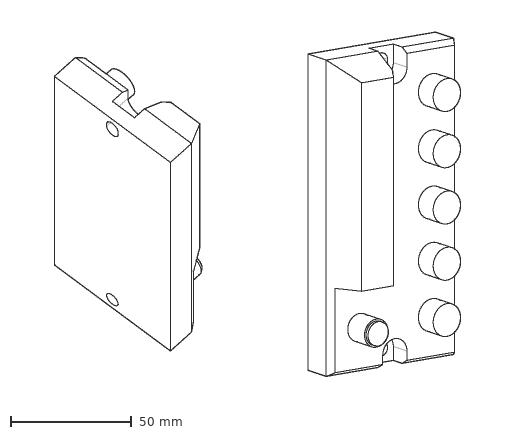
import cadquery as cq
import math

width = 65.0
height = 135.0
edge_depth = 13.0
plate_depth = 16.5
body_depth = 27.0
bevel_angle = math.radians(30)

clearance_width = 12.35
housing_left = clearance_width / 2
housing_bottom = 38.0
housing_bevel_depth = 3.5

socket_diameter = 14.0
socket_count = 5
socket_pitch = 24.0
socket_x = -19.0
first_socket_z = (height - (socket_count - 1) * socket_pitch) / 2

connector_x = 18.0
collar_diameter = 12.0
collar_depth = 28.4
tip_diameter = 10.4
tip_depth = 29.8

hole_diameter = 6.4
lower_hole_z = 6.0
upper_hole_z = height - 7.0
upper_hole_length = 8.2
vertical = 90
clearance_floor = 6.8


def bevel_run(depth):
    """Sideways run of a bevel that is `depth` deep along Y."""
    return depth * math.tan(bevel_angle)


def make_beveled_body(depth):
    """Full-size block whose top, bottom and sides lean inward beyond edge_depth."""
    base = cq.Workplane("XY").box(width, edge_depth, height, centered=(True, False, False))
    bevel_depth = depth - edge_depth
    bevel = (
        cq.Workplane("XZ", origin=(0, edge_depth, height / 2))
        .rect(width, height)
        .extrude(-bevel_depth, taper=math.degrees(bevel_angle))
    )
    return base.union(bevel)


def make_housing():
    """Part of the deep beveled body kept on the right, with a bevel on its inner edge."""
    bevel_start = body_depth - housing_bevel_depth
    profile = [
        (housing_left, 0),
        (width / 2, 0),
        (width / 2, body_depth),
        (housing_left + bevel_run(housing_bevel_depth), body_depth),
        (housing_left, bevel_start),
    ]
    envelope = (
        cq.Workplane("XY", origin=(0, 0, housing_bottom))
        .polyline(profile)
        .close()
        .extrude(height - housing_bottom)
    )
    return make_beveled_body(body_depth).intersect(envelope)


def make_cylinder(x, z, diameter, front):
    """Round post from inside the plate to the depth `front`."""
    return (
        cq.Workplane("XZ", origin=(x, edge_depth, z))
        .circle(diameter / 2)
        .extrude(edge_depth - front)
    )


def make_head_clearance(hole_z, edge_z):
    """Round-ended recess from a screw hole out through the nearby plate edge."""
    recess_depth = plate_depth - clearance_floor
    front_plane = cq.Workplane("XZ", origin=(0, clearance_floor, 0))
    round_end = front_plane.center(0, hole_z).circle(clearance_width / 2).extrude(-recess_depth)
    opening = (
        front_plane.center(0, (hole_z + edge_z) / 2)
        .rect(clearance_width, abs(edge_z - hole_z))
        .extrude(-recess_depth)
    )
    return round_end.union(opening)


def make_mounting_holes():
    """Round lower hole and vertical upper slot, both through the plate."""
    back = cq.Workplane("XZ")
    lower = back.center(0, lower_hole_z).circle(hole_diameter / 2).extrude(-plate_depth)
    upper = (
        back.center(0, upper_hole_z)
        .slot2D(upper_hole_length, hole_diameter, vertical)
        .extrude(-plate_depth)
    )
    return lower.union(upper)


upper_slot_inner_z = upper_hole_z - (upper_hole_length - hole_diameter) / 2

result = make_beveled_body(plate_depth).union(make_housing())

for index in range(socket_count):
    socket_z = first_socket_z + index * socket_pitch
    result = result.union(make_cylinder(socket_x, socket_z, socket_diameter, body_depth))

result = result.union(make_cylinder(connector_x, first_socket_z, collar_diameter, collar_depth))
result = result.union(make_cylinder(connector_x, first_socket_z, tip_diameter, tip_depth))

result = result.cut(make_head_clearance(lower_hole_z, 0))
result = result.cut(make_head_clearance(upper_slot_inner_z, height))
result = result.cut(make_mounting_holes())